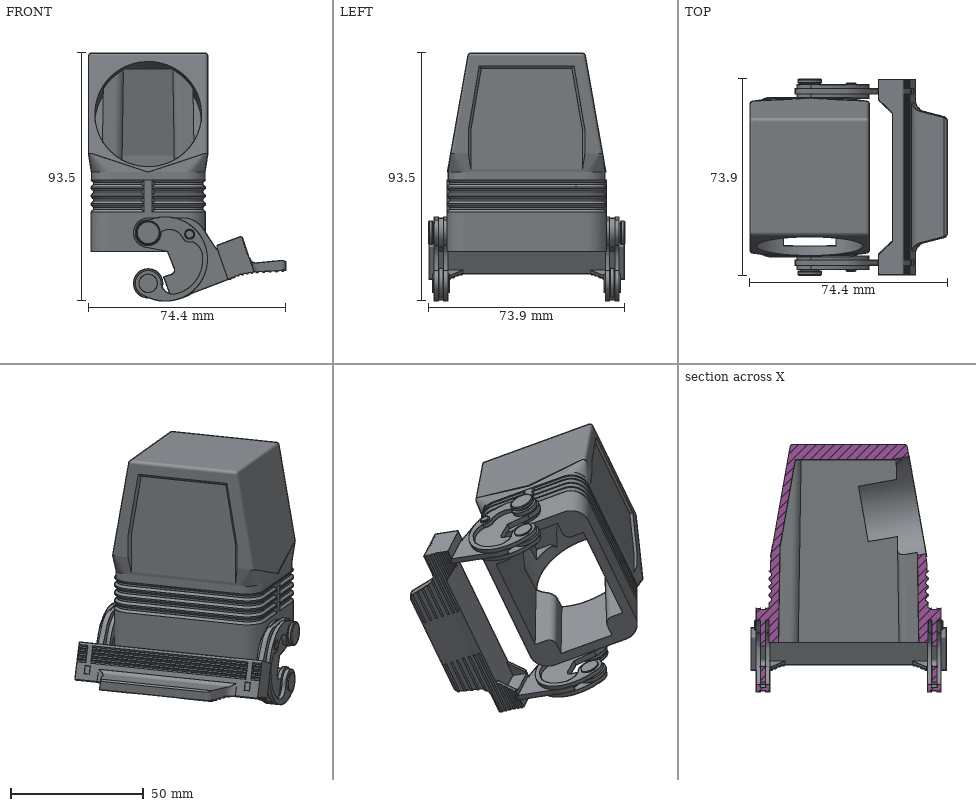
import cadquery as cq
import math

overall_width = 74.4
overall_length = 73.9
hood_height = 74.8
upper_width = 45.05
upper_bottom = 36.9
upper_edge_radius = 1.3
end_draft = 10
end_half_top = 22.0

waist_top = 29.9
waist_width = 42.8
waist_length = 59.1
base_width = 43.1
base_length = 60.1
base_corner_radius = 7.1

groove_count = 4
groove_bottom = 15
groove_top = 26.9
groove_ridge = 0.6
groove_opening = (groove_top - groove_bottom - (groove_count - 1) * groove_ridge) / groove_count
groove_floor = 0.75
groove_depth = 0.9
rib_half_width = 1.5
rib_flank_run = 1.5

panel_depth = 0.9
panel_bevel = 45
panel_top = 69.9
panel_knee = 45.7
panel_half_top = 17.85
panel_half_bottom = 22.0

bore_radius = 20.1
bore_height = 51.8
bore_depth = 20.75
cavity_top = 68.8
cavity_draft = 0.9
room_half_width = 17.85
room_half_length = 19.0
slot_half_width = 10.4
slot_half_length = 26.4
pillar_radius = 3.0
end_wall = 3.0

arm_middle_y = 32.25
tongue_thickness = 2.1
hook_thickness = 5.2
pivot = (0, 7.1)
pivot_radius = 5.5
pivot_cap_radius = 4.5
pivot_neck_radius = 3.55
pivot_cap_thickness = 1.7
pivot_cap_top = overall_length / 2
pivot_cap_chamfer = 0.4
hook_centre = (6.45, -2.8)
hook_radius = 15.9
roller_centre = (0, -12.0)
roller_radius = 5.5
roller_thickness = 1.4
roller_pin_radius = 3.5
roller_pin_length = 6.3
hook_end_radius = 4.9
stud_centre = (15.6, 6.5)
stud_radius = 1.9
stud_top = 35.5
stud_chamfer = 0.4
stud_clearance = 3.0

lever_tilt = 21
bar_half_length = 36.8
bar_corner = (25.6, 2.2)
notch_depth = 5.9
notch_half_outer = 29.3
notch_half_inner = 24.0
pocket_half_length = 29.9
pocket_floor = -12.15
pocket_roof = -1.1
bar_edge_radius = 0.8
bar_back_top = (35.3, 5.9)
bar_back_middle = (37.8, -1.5)
bar_back_bottom = (39.9, -7.7)
bar_underside_middle = (34.6, -8.6)
bar_underside_front = (30.0, -10.4)
tooth_count = 5
first_tooth = 0.12
tooth_land = 0.2
tooth_depth = 0.4
grip_rib_radius = 0.4
grip_rib_inner = 10.0
ribs_per_bar_face = 3
lip_grip_ribs = 5
lip_end = overall_width - upper_width / 2
lip_start = 7.9
lip_root = 9.9
lip_neck = 12.9
lip_reach = 22.9
lip_root_half = 27.9
lip_neck_half = 24.7
lip_tip_half = 22.0
lip_corner_radius = 1.9

clear_size = 186.9


def end_face_y(z):
    """Distance of the sloping end faces from the centre at height z."""
    return end_half_top + (hood_height - z) * math.tan(math.radians(end_draft))


def rounded_plate(width, length, radius):
    return cq.Sketch().rect(width, length).vertices().fillet(radius)


def block(width, length, radius, bottom, top):
    sketch = rounded_plate(width, length, radius)
    return cq.Workplane(origin=(0, 0, bottom)).placeSketch(sketch).extrude(top - bottom)


def plate_at(y, thickness):
    """XZ workplane whose extrusion by `thickness` is centred on y."""
    return cq.Workplane("XZ", origin=(0, y + thickness / 2, 0))


def disc(centre, radius, y_low, y_high):
    return cq.Workplane("XZ", origin=(0, y_high, 0)).center(*centre).circle(radius).extrude(y_high - y_low)


def arm_disc(centre, radius, thickness):
    """Disc centred on the mid-plane of the arm."""
    return disc(centre, radius, arm_middle_y - thickness / 2, arm_middle_y + thickness / 2)


def tongue_slab(side):
    """Unlimited slab as thick as the tongue, on the mid-plane of one arm."""
    slab = plate_at(side * arm_middle_y, tongue_thickness).rect(clear_size, clear_size)
    return slab.extrude(tongue_thickness)


def end_profile(bottom, width):
    """Trapezoid between the two sloping end faces, extruded across X."""
    low = end_face_y(bottom)
    return (
        cq.Workplane("YZ", origin=(-width / 2, 0, 0))
        .polyline([(-low, bottom), (low, bottom), (end_half_top, hood_height), (-end_half_top, hood_height)])
        .close()
        .extrude(width)
    )


def upper_body():
    """Tapered head, narrowing to the waist below with a V-shaped keel on each end."""
    body = end_profile(upper_bottom, upper_width).edges("not <Z").fillet(upper_edge_radius)
    lower_plate = rounded_plate(waist_width, waist_length, base_corner_radius)
    upper_plate = rounded_plate(upper_width, 2 * end_face_y(upper_bottom), upper_edge_radius)
    transition = (
        cq.Workplane()
        .placeSketch(
            lower_plate.moved(cq.Location((0, 0, waist_top))),
            upper_plate.moved(cq.Location((0, 0, upper_bottom))),
        )
        .loft(ruled=True)
    )
    half = upper_width / 2 - upper_edge_radius
    reach = end_face_y(waist_top)
    keel = (
        cq.Workplane("XZ", origin=(0, reach, 0))
        .polyline([(-half, upper_bottom), (half, upper_bottom), (0, waist_top)])
        .close()
        .extrude(2 * reach)
        .intersect(end_profile(waist_top, upper_width))
    )
    return body.union(transition).union(keel)


def groove(bottom):
    """Ring with a trapezoid section, interrupted by an upright rib on each end."""
    flank = (groove_opening - groove_floor) / 2
    flank_angle = math.degrees(math.atan(groove_depth / flank))
    plate = rounded_plate(base_width, base_length, base_corner_radius)
    middle = bottom + groove_opening / 2
    core = block(
        base_width - 2 * groove_depth,
        base_length - 2 * groove_depth,
        base_corner_radius - groove_depth,
        bottom,
        bottom + groove_opening,
    )
    lower = cq.Workplane(origin=(0, 0, bottom)).placeSketch(plate).extrude(flank, taper=flank_angle)
    upper = lower.mirror("XY", (0, 0, middle))
    ring = cq.Workplane(origin=(0, 0, middle)).box(2 * base_width, 2 * base_length, groove_opening)
    ring = ring.cut(core).cut(lower).cut(upper)
    outer = base_length / 2
    inner = outer - rib_flank_run * groove_depth
    foot = rib_half_width + rib_flank_run * groove_depth
    for side in (1, -1):
        rib = (
            cq.Workplane(origin=(0, 0, bottom))
            .polyline(
                [
                    (-foot, side * inner),
                    (foot, side * inner),
                    (rib_half_width, side * outer),
                    (-rib_half_width, side * outer),
                ]
            )
            .close()
            .extrude(groove_opening)
        )
        ring = ring.cut(rib)
    return ring


def side_panel(side):
    """Recess with bevelled edges that runs out through the slope above the waist."""
    plane = cq.Plane(origin=(side * upper_width / 2, 0, 0), xDir=(0, side, 0), normal=(side, 0, 0))
    bottom = waist_top - panel_depth
    return (
        cq.Workplane(plane)
        .polyline(
            [
                (-panel_half_top, panel_top),
                (panel_half_top, panel_top),
                (panel_half_bottom, panel_knee),
                (panel_half_bottom, bottom),
                (-panel_half_bottom, bottom),
                (-panel_half_bottom, panel_knee),
            ]
        )
        .close()
        .extrude(-panel_depth, taper=panel_bevel)
    )


def cavity():
    """Cross-shaped cavity between four pillars, closed by the sloping end walls."""
    room_plan = cq.Workplane().rect(2 * room_half_width, 2 * room_half_length)
    slot_plan = cq.Workplane().rect(2 * slot_half_width, 2 * slot_half_length)
    room = room_plan.extrude(cavity_top, taper=cavity_draft)
    slot = slot_plan.extrude(cavity_top, taper=cavity_draft)
    pillar_edges = cq.selectors.BoxSelector(
        (-slot_half_width - 0.9, -room_half_length - 0.9, 0.9),
        (slot_half_width + 0.9, room_half_length + 0.9, cavity_top - 0.9),
    )
    space = room.union(slot).edges(pillar_edges).fillet(pillar_radius)
    low = end_face_y(0) - end_wall
    high = end_half_top - end_wall
    limit = (
        cq.Workplane("YZ", origin=(-upper_width / 2, 0, 0))
        .polyline([(-low, 0), (low, 0), (high, hood_height), (-high, hood_height)])
        .close()
        .extrude(upper_width)
    )
    return space.intersect(limit)


def cable_bore():
    tilt = math.radians(end_draft)
    mouth = cq.Plane(
        origin=(0, -end_face_y(bore_height), bore_height),
        xDir=(1, 0, 0),
        normal=(0, math.cos(tilt), -math.sin(tilt)),
    )
    margin = 1.9
    return cq.Workplane(mouth).workplane(offset=-margin).circle(bore_radius).extrude(bore_depth + margin)


def hood():
    body = block(base_width, base_length, base_corner_radius, 0, groove_top)
    body = body.union(block(waist_width, waist_length, base_corner_radius, groove_top, waist_top))
    body = body.union(upper_body())
    for index in range(groove_count):
        body = body.cut(groove(groove_bottom + index * (groove_opening + groove_ridge)))
    for side in (1, -1):
        body = body.cut(side_panel(side))
    return body.cut(cavity()).cut(cable_bore())


def on_hook_circle(towards):
    """Point of the hook's outer circle on the ray from its centre through `towards`."""
    dx = towards[0] - hook_centre[0]
    dz = towards[1] - hook_centre[1]
    scale = hook_radius / math.hypot(dx, dz)
    return (hook_centre[0] + dx * scale, hook_centre[1] + dz * scale)


def around_stud(angle):
    turn = math.radians(angle)
    return (
        stud_centre[0] + stud_clearance * math.cos(turn),
        stud_centre[1] + stud_clearance * math.sin(turn),
    )


def hook():
    """C-shaped cheeks from the pivot round to the roller."""
    crescent = (
        plate_at(arm_middle_y, hook_thickness)
        .moveTo(*pivot)
        .lineTo(*on_hook_circle(pivot))
        .threePointArc((hook_centre[0] + hook_radius, hook_centre[1]), on_hook_circle(roller_centre))
        .lineTo(*roller_centre)
        .lineTo(roller_centre[0] + hook_end_radius, roller_centre[1])
        .threePointArc((6.5, -15), (9.6, -16.1))
        .threePointArc((17.2, -11.9), (20.5, -3.3))
        .threePointArc((19.3, 1.7), around_stud(-70))
        .threePointArc(around_stud(-115), around_stud(-160))
        .threePointArc((8.6, 8.3), (pivot[0] + pivot_cap_radius, pivot[1]))
        .close()
        .extrude(hook_thickness)
    )
    cheeks = crescent.union(arm_disc(pivot, hook_end_radius, hook_thickness))
    cheeks = cheeks.union(arm_disc(roller_centre, hook_end_radius, hook_thickness))
    return cheeks.cut(tongue_slab(1))


def tongue():
    """Middle plate of the arm, from the pivot to a tenon through the handle bar."""
    top = pivot[1] + pivot_radius
    plate = (
        plate_at(arm_middle_y, tongue_thickness)
        .moveTo(pivot[0], top)
        .lineTo(14.6, top)
        .threePointArc((18.1, 11.1), (20.8, 8.3))
        .lineTo(25.7, 0.9)
        .lineTo(31.8, 0.9)
        .lineTo(31.8, -2.3)
        .lineTo(38.3, -2.3)
        .lineTo(39.35, -5.2)
        .lineTo(31.8, -5.2)
        .lineTo(31.8, -10.0)
        .lineTo(30.0, -10.6)
        .lineTo(16.4, -15.8)
        .threePointArc((11.9, -17.8), (7.5, -18.1))
        .lineTo(8.0, -15.7)
        .lineTo(5.8, -9.5)
        .lineTo(8.3, -8.7)
        .threePointArc((9.7, -7.7), (9.6, -6.0))
        .lineTo(7.2, 0.1)
        .lineTo(-1.1, 1.7)
        .lineTo(*pivot)
        .close()
        .extrude(tongue_thickness)
    )
    return plate.union(arm_disc(pivot, pivot_radius, tongue_thickness))


def pins():
    cap_bottom = pivot_cap_top - pivot_cap_thickness
    cap = disc(pivot, pivot_cap_radius, cap_bottom, pivot_cap_top).edges().chamfer(pivot_cap_chamfer)
    neck = disc(pivot, pivot_neck_radius, arm_middle_y, cap_bottom + pivot_cap_chamfer)
    roller = arm_disc(roller_centre, roller_radius, roller_thickness)
    roller_pin = arm_disc(roller_centre, roller_pin_radius, roller_pin_length)
    stud = disc(stud_centre, stud_radius, arm_middle_y, stud_top).faces(">Y").chamfer(stud_chamfer)
    return cap.union(neck).union(roller).union(roller_pin).union(stud)


def bar_frame():
    """Workplane on the sloping top of the bar, its local X running away from the hood."""
    tilt = math.radians(lever_tilt)
    top = cq.Plane(
        origin=(bar_corner[0], 0, bar_corner[1]),
        xDir=(math.cos(tilt), 0, math.sin(tilt)),
        normal=(-math.sin(tilt), 0, math.cos(tilt)),
    )
    return cq.Workplane(top)


def between(start, end, share):
    return (start[0] + (end[0] - start[0]) * share, start[1] + (end[1] - start[1]) * share)


def serrations():
    """V cuts down the back of the bar, left out where the tongues pass through."""
    first_top = between(bar_back_top, bar_back_middle, first_tooth)
    run = math.hypot(bar_back_middle[0] - first_top[0], bar_back_middle[1] - first_top[1])
    inward = (
        (bar_back_middle[1] - first_top[1]) / run * tooth_depth,
        (first_top[0] - bar_back_middle[0]) / run * tooth_depth,
    )
    cuts = cq.Workplane()
    for index in range(tooth_count):
        top = between(first_top, bar_back_middle, (index + tooth_land / 2) / tooth_count)
        bottom = between(first_top, bar_back_middle, (index + 1 - tooth_land / 2) / tooth_count)
        middle = between(top, bottom, 0.5)
        root = (middle[0] + inward[0], middle[1] + inward[1])
        tooth_gap = plate_at(0, 2 * bar_half_length).polyline([top, bottom, root]).close()
        cuts = cuts.add(tooth_gap.extrude(2 * bar_half_length))
    cuts = cuts.combine()
    for side in (1, -1):
        cuts = cuts.cut(tongue_slab(side))
    return cuts


def grip_ribs(start, end, count):
    """Round ribs along Y under the surface from start to end, absent in the middle."""
    ribs = cq.Workplane()
    for index in range(count):
        centre = between(start, end, (index + 0.5) / count)
        ribs = ribs.add(disc(centre, grip_rib_radius, grip_rib_inner, bar_half_length))
        ribs = ribs.add(disc(centre, grip_rib_radius, -bar_half_length, -grip_rib_inner))
    return ribs.combine()


def bar_pocket():
    """Chamfered notch in the front of the bar, widened to a pocket between its two skins."""
    margin = 0.9
    notch = (
        bar_frame()
        .polyline(
            [
                (-margin, -notch_half_outer),
                (0, -notch_half_outer),
                (notch_depth, -notch_half_inner),
                (notch_depth, notch_half_inner),
                (0, notch_half_outer),
                (-margin, notch_half_outer),
            ]
        )
        .close()
        .extrude(clear_size, both=True)
    )
    pocket = (
        bar_frame()
        .workplane(offset=pocket_floor)
        .center((notch_depth - margin) / 2, 0)
        .rect(notch_depth + margin, 2 * pocket_half_length)
        .extrude(pocket_roof - pocket_floor)
    )
    return notch.union(pocket)


def handle():
    rounded_corners = cq.selectors.BoxSelector(
        (bar_corner[0] - 0.9, -0.9, bar_corner[1] - 0.9), (bar_back_top[0] + 0.9, 0.9, bar_back_top[1] + 0.9)
    )
    bar = (
        plate_at(0, 2 * bar_half_length)
        .polyline(
            [
                bar_corner,
                bar_back_top,
                bar_back_middle,
                bar_back_bottom,
                bar_underside_middle,
                bar_underside_front,
            ]
        )
        .close()
        .extrude(2 * bar_half_length)
        .edges("|Y")
        .edges(rounded_corners)
        .fillet(bar_edge_radius)
    )
    bar = bar.union(grip_ribs(bar_underside_front, bar_underside_middle, ribs_per_bar_face))
    bar = bar.union(grip_ribs(bar_underside_middle, bar_back_bottom, ribs_per_bar_face))
    return bar.cut(bar_pocket()).cut(serrations()).union(lip())


def lip():
    """Tapered thumb lip with a concave neck, ribbed underneath."""
    lip_tip = (lip_end, -7.1)
    neck_middle = (10.8, 25.9)
    section = (
        plate_at(0, 2 * lip_root_half)
        .moveTo(37.8, -7.0)
        .lineTo(37.8, -1.9)
        .threePointArc((39.1, -3.8), (40.9, -4.2))
        .lineTo(50.7, -3.3)
        .lineTo(lip_end, -3.7)
        .lineTo(*lip_tip)
        .lineTo(*bar_back_bottom)
        .close()
        .extrude(2 * lip_root_half)
    )
    plan = (
        bar_frame()
        .moveTo(lip_start, -lip_root_half)
        .lineTo(lip_root, -lip_root_half)
        .threePointArc((neck_middle[0], -neck_middle[1]), (lip_neck, -lip_neck_half))
        .lineTo(lip_reach, -lip_tip_half)
        .lineTo(lip_reach, lip_tip_half)
        .lineTo(lip_neck, lip_neck_half)
        .threePointArc(neck_middle, (lip_root, lip_root_half))
        .lineTo(lip_start, lip_root_half)
        .close()
        .extrude(clear_size, both=True)
    )
    tab = section.intersect(plan).faces(">X").edges("not |Y").fillet(lip_corner_radius)
    ribs = grip_ribs(bar_back_bottom, lip_tip, lip_grip_ribs).intersect(plan)
    return tab.union(ribs)


arm = hook().union(tongue()).union(pins())
result = hood().union(arm).union(arm.mirror("XZ")).union(handle())